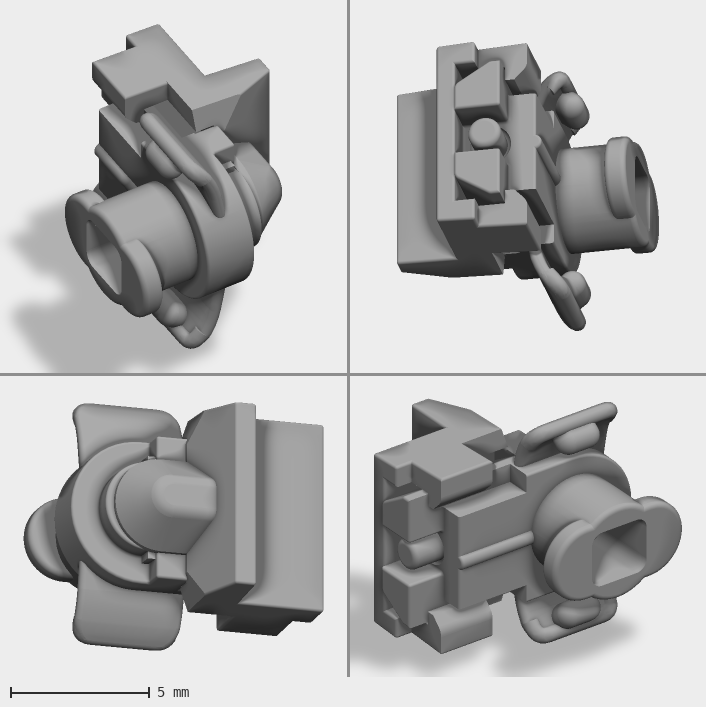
import cadquery as cq
import math


EDGE = 0.1
OVERLAP = 0.5

POST_RADIUS = 1.9
POST_LENGTH = 2.79
HEAD_HALF_LENGTH = 2.9
HEAD_WIDTH = 3.0
HEAD_THICKNESS = 0.8
HEAD_EDGE = 0.2
SOCKET_LENGTH = 2.44
SOCKET_WIDTH = 2.2
SOCKET_CORNER = 0.45

PLATE_RADIUS = 2.65
PLATE_BACK = 1.96
NOTCH_X = -2.085
PRONG_FRONT = 1.0
PRONG_BACK = 2.68
PRONG_LEFT = -6.6
PRONG_INNER = 0.86
PRONG_SLOPE_TOP = 1.85
PRONG_SLOPE_FRONT = 1.38
PRONG_FRONT_ROUND = 0.2
PRONG_BACK_ROUND = 0.3
STRIP_LEFT = -5.1
STRIP_HALF_WIDTH = 1.91
BLOCK_LEFT = -1.55
BLOCK_RIGHT = -0.29
BLOCK_BACK = 2.87
BOSS_RADIUS = 1.645
RIB_RADIUS = 0.3
RIB_CENTER_Y = 0.1

PIN_RADIUS = 0.6
PIN_Y = 1.66
PIN_LEFT = -6.29
PIN_EDGE = 0.2
PIN_GROOVE = 0.15

HOUSING_LEFT = -6.475
HOUSING_ARM_FRONT = 1.95
HOUSING_ARM_BACK = 3.36
TOWER_BACK = 5.58
TOWER_LEFT_FRONT = -3.24
TOWER_LEFT_BACK = -3.14
TOWER_RIGHT_BACK = -2.36
TOWER_RIGHT_FRONT = -1.36
TOWER_SLOPE_FRONT = 3.07
LEG_LEFT = -5.79
LEG_RIGHT = -3.49
LEG_FRONT = 0.16
HOUSING_HALF_FRONT = 3.645
HOUSING_HALF_BACK = 3.39
CAVITY_HALF = 2.72
HOOK_INNER = 2.2
HOOK_BACK = 0.97
HOOK_SLOPE_BACK = 0.64
HOOK_ROUND = 0.5
END_WALL_X = -1.75
END_WALL_Z = 3.5
END_WALL_SLOPE = 0.35

BULGE_CENTER_X = -0.36
BULGE_RADIUS = 1.717
BULGE_STEP = 0.2
BULGE_BACK = 4.57
BULGE_TAPER = 35.4
BULGE_ROUND = 0.5

WING_HALF_LENGTH = 2.0
WING_THICKNESS = 0.46
WING_BEND_RADIUS = 3.1
WING_CORNER = 0.8
WING_EDGE = 0.2
WING_ROOT_Z = 1.5
BEAD_RADIUS = 0.3
BEAD_Y = -0.1
WING_TOP = 4.5
BEND_START_Y = 1.0
BEND_START_Z = 2.77
KNOB_RADIUS = 0.49
KNOB_SPACING = 0.8
KNOB_NECK = 0.45
KNOB_Y = -0.244
KNOB_Z = 3.59
KNOB_TILT = 37
LOWER_KNOB_LIFT = 0.07


def box(x0, x1, y0, y1, z0, z1):
    """Box between two opposite corners."""
    return cq.Workplane("XY").box(x1 - x0, y1 - y0, z1 - z0, centered=False).translate((x0, y0, z0))


def both_sides(part):
    """A part together with its mirror image about Z = 0."""
    return part.union(part.mirror("XY"))


def xz_plane(y):
    """Work plane facing -Y with X and Z as its axes."""
    return cq.Workplane("XZ", origin=(0, y, 0))


def rounded_end_plate(left, center, radius, front, back):
    """Bar of width 2 * radius along X whose right end is a half circle."""
    return (
        xz_plane(back)
        .moveTo(left, -radius)
        .lineTo(center, -radius)
        .threePointArc((center + radius, 0), (center, radius))
        .lineTo(left, radius)
        .close()
        .extrude(back - front)
    )


def make_post():
    post = xz_plane(OVERLAP).circle(POST_RADIUS).extrude(POST_LENGTH + OVERLAP)
    post = post.faces("<Y").edges().fillet(HEAD_EDGE)
    lobes = (
        xz_plane(HEAD_THICKNESS - POST_LENGTH)
        .slot2D(2 * HEAD_HALF_LENGTH, HEAD_WIDTH)
        .extrude(HEAD_THICKNESS)
        .edges("<Y or >Y")
        .fillet(HEAD_EDGE)
    )
    return post.union(lobes)


def make_socket():
    return (
        xz_plane(0)
        .rect(SOCKET_LENGTH, SOCKET_WIDTH)
        .extrude(POST_LENGTH)
        .edges("|Y")
        .fillet(SOCKET_CORNER)
    )


def make_prong():
    outline = [
        (PRONG_FRONT, PRONG_INNER),
        (PRONG_FRONT, PLATE_RADIUS),
        (PRONG_SLOPE_FRONT, PLATE_RADIUS),
        (PRONG_BACK, PRONG_SLOPE_TOP),
        (PRONG_BACK, PRONG_INNER),
    ]
    length = BLOCK_LEFT - PRONG_LEFT + OVERLAP

    def nearest(y, z):
        """Selects the long edge of the prong through a corner of its outline."""
        return cq.selectors.NearestToPointSelector((PRONG_LEFT + length / 2, y, z))

    prong = (
        cq.Workplane("YZ", origin=(PRONG_LEFT, 0, 0))
        .polyline(outline)
        .close()
        .extrude(length)
    )
    prong = prong.edges(nearest(PRONG_SLOPE_FRONT, PLATE_RADIUS)).fillet(PRONG_FRONT_ROUND)
    prong = prong.edges(nearest(PRONG_BACK, PRONG_SLOPE_TOP)).fillet(PRONG_BACK_ROUND)
    left_edges = prong.faces("<X").edges()
    inner_edge = prong.edges(nearest(PRONG_FRONT, PRONG_INNER))
    return left_edges.add(inner_edge).fillet(EDGE)


def make_plate():
    head = rounded_end_plate(NOTCH_X, 0, PLATE_RADIUS, 0, PLATE_BACK)
    head = head.faces("<Y").edges("not <X").fillet(EDGE)
    head = head.faces(">Y").edges("%CIRCLE").fillet(EDGE)
    strip = box(STRIP_LEFT, 0, 0, PRONG_BACK, -STRIP_HALF_WIDTH, STRIP_HALF_WIDTH)
    strip = strip.edges("<X and <Y").fillet(EDGE)
    slope_gap = box(STRIP_LEFT, BLOCK_LEFT, PRONG_FRONT, PRONG_BACK, PRONG_INNER + OVERLAP, PLATE_RADIUS)
    slope_gap = both_sides(slope_gap)
    head = head.cut(slope_gap)
    strip = strip.cut(slope_gap)
    block = box(BLOCK_LEFT, BLOCK_RIGHT, PRONG_FRONT, BLOCK_BACK, -PLATE_RADIUS, PLATE_RADIUS)
    block = block.edges("|Y or (>Y and (not <X))").fillet(EDGE)
    boss = rounded_end_plate(BLOCK_RIGHT - EDGE, 0, BOSS_RADIUS, PRONG_FRONT, BLOCK_BACK)
    boss = boss.faces(">Y").edges("%CIRCLE").fillet(EDGE)
    stepped = head.union(block).union(boss)
    foot_zone = cq.selectors.BoxSelector(
        (BLOCK_RIGHT - EDGE / 2, PLATE_BACK - EDGE, -PLATE_RADIUS),
        (BOSS_RADIUS * 0.75, PLATE_BACK + EDGE / 2, PLATE_RADIUS),
    )
    stepped = stepped.edges(foot_zone).fillet(EDGE)
    return stepped.union(strip).union(both_sides(make_prong()))


def round_channel_end(part):
    """Fill the inner corners where the strip rises from the prongs and the housing."""
    corner_zone = cq.selectors.BoxSelector(
        (STRIP_LEFT - EDGE, PRONG_FRONT - EDGE, -CAVITY_HALF),
        (STRIP_LEFT + EDGE / 2, PRONG_BACK + EDGE, CAVITY_HALF),
    )
    return part.edges(corner_zone).fillet(EDGE)


def make_rib():
    rib = (
        cq.Workplane("YZ", origin=(STRIP_LEFT, 0, 0))
        .center(RIB_CENTER_Y, 0)
        .circle(RIB_RADIUS)
        .extrude(-STRIP_LEFT)
    )
    return rib.faces("<X").edges().fillet(EDGE)


def make_pin():
    pin = (
        cq.Workplane("YZ", origin=(PIN_LEFT, 0, 0))
        .center(PIN_Y, 0)
        .circle(PIN_RADIUS)
        .extrude(STRIP_LEFT + OVERLAP - PIN_LEFT)
    )
    return pin.faces("<X").edges().fillet(PIN_EDGE)


def make_pin_groove():
    """Ring around the pin foot, quarter round in section."""
    outer = PIN_Y + PIN_RADIUS + PIN_GROOVE
    bevel = PIN_GROOVE * math.sqrt(0.5)
    return (
        cq.Workplane("XY")
        .moveTo(STRIP_LEFT, PIN_Y + PIN_RADIUS)
        .lineTo(STRIP_LEFT, outer)
        .threePointArc(
            (STRIP_LEFT + bevel, PIN_Y + PIN_RADIUS + bevel),
            (STRIP_LEFT + PIN_GROOVE, PIN_Y + PIN_RADIUS),
        )
        .close()
        .revolve(360, (0, PIN_Y, 0), (1, PIN_Y, 0))
    )


def make_housing():
    outline = [
        (HOUSING_LEFT, HOUSING_ARM_FRONT),
        (LEG_LEFT, HOUSING_ARM_FRONT),
        (LEG_LEFT, LEG_FRONT),
        (LEG_RIGHT, LEG_FRONT),
        (LEG_RIGHT, HOUSING_ARM_FRONT),
        (TOWER_RIGHT_FRONT, HOUSING_ARM_FRONT),
        (TOWER_RIGHT_FRONT, TOWER_SLOPE_FRONT),
        (TOWER_RIGHT_BACK, TOWER_BACK),
        (TOWER_LEFT_BACK, TOWER_BACK),
        (TOWER_LEFT_FRONT, HOUSING_ARM_BACK),
        (HOUSING_LEFT, HOUSING_ARM_BACK),
    ]
    housing = cq.Workplane("XY").polyline(outline).close().extrude(WING_TOP, both=True)
    draft = [
        (LEG_FRONT, -HOUSING_HALF_FRONT),
        (LEG_FRONT, HOUSING_HALF_FRONT),
        (TOWER_BACK, HOUSING_HALF_BACK),
        (TOWER_BACK, -HOUSING_HALF_BACK),
    ]
    length = TOWER_RIGHT_FRONT - HOUSING_LEFT
    left_plane = cq.Workplane("YZ", origin=(HOUSING_LEFT, 0, 0))
    housing = housing.intersect(left_plane.polyline(draft).close().extrude(length))

    arc_front = HOOK_ROUND * (1 - math.sqrt(0.5))
    slope = HOOK_SLOPE_BACK - LEG_FRONT - arc_front
    arc_inner = HOOK_INNER + slope
    arc_outer = arc_inner + HOOK_ROUND * math.sqrt(0.5)
    turn = math.radians(22.5)
    arc_mid = (
        LEG_FRONT + HOOK_ROUND * (1 - math.cos(turn)),
        arc_outer - HOOK_ROUND * math.sin(turn),
    )
    opening = (
        left_plane.moveTo(PRONG_BACK, 0)
        .lineTo(PRONG_BACK, CAVITY_HALF)
        .lineTo(HOOK_BACK, CAVITY_HALF)
        .lineTo(HOOK_BACK, HOOK_INNER)
        .lineTo(HOOK_SLOPE_BACK, HOOK_INNER)
        .lineTo(LEG_FRONT + arc_front, arc_inner)
        .threePointArc(arc_mid, (LEG_FRONT, arc_outer))
        .lineTo(LEG_FRONT, 0)
        .close()
        .extrude(length)
    )
    housing = housing.cut(both_sides(opening))

    def is_sharp(edge):
        middle = edge.Center()
        on_arm_front = middle.x > LEG_RIGHT and abs(middle.y - HOUSING_ARM_FRONT) < EDGE
        on_arm_end = abs(middle.x - TOWER_RIGHT_FRONT) < EDGE
        return on_arm_front or on_arm_end

    rounded = housing.faces(">Z or <Z").edges().filter(lambda edge: not is_sharp(edge))
    rounded = rounded.add(housing.faces("<X").edges())
    rounded = rounded.add(housing.faces(">Y").edges())
    housing = rounded.fillet(EDGE)

    wall_x_inside = END_WALL_X + END_WALL_SLOPE * END_WALL_Z
    wall_x_outside = END_WALL_X - END_WALL_SLOPE * (WING_TOP - END_WALL_Z)
    wedge = (
        xz_plane(TOWER_BACK)
        .polyline([(wall_x_inside, 0), (wall_x_outside, WING_TOP), (wall_x_inside, WING_TOP)])
        .close()
        .extrude(TOWER_BACK)
    )
    housing = housing.cut(both_sides(wedge))
    return housing


def make_bulge():
    base = rounded_end_plate(
        TOWER_RIGHT_BACK, BULGE_CENTER_X, BULGE_RADIUS, BLOCK_BACK - EDGE, BLOCK_BACK + BULGE_STEP
    )
    height = BULGE_BACK - BLOCK_BACK - BULGE_STEP
    cone_left = TOWER_RIGHT_BACK - BULGE_RADIUS
    cone = (
        cq.Workplane("ZX", origin=(0, BLOCK_BACK + BULGE_STEP, 0))
        .moveTo(-BULGE_RADIUS, cone_left)
        .lineTo(-BULGE_RADIUS, BULGE_CENTER_X)
        .threePointArc((0, BULGE_CENTER_X + BULGE_RADIUS), (BULGE_RADIUS, BULGE_CENTER_X))
        .lineTo(BULGE_RADIUS, cone_left)
        .close()
        .extrude(height, taper=BULGE_TAPER)
    )
    cone = cone.faces(">Y").edges("not <X").fillet(BULGE_ROUND)
    bulge = base.union(cone)
    limit = (
        cq.Workplane("XY")
        .polyline([
            (TOWER_RIGHT_FRONT, 0),
            (TOWER_RIGHT_FRONT, TOWER_SLOPE_FRONT),
            (TOWER_RIGHT_BACK, TOWER_BACK),
            (PLATE_RADIUS, TOWER_BACK),
            (PLATE_RADIUS, 0),
        ])
        .close()
        .extrude(PLATE_RADIUS, both=True)
    )
    return bulge.intersect(limit)


def make_wing():
    """Upper wing: a bent flap with a bead along its rim."""
    bead_z = WING_TOP - BEAD_RADIUS
    far = WING_BEND_RADIUS
    near = WING_BEND_RADIUS - BEAD_RADIUS
    dy = BEAD_Y - BEND_START_Y
    dz = bead_z - BEND_START_Z
    gap = math.hypot(dy, dz)
    along = (far**2 - near**2 + gap**2) / (2 * gap)
    across = math.sqrt(far**2 - along**2)
    center_y = BEND_START_Y + (along * dy - across * dz) / gap
    center_z = BEND_START_Z + (along * dz + across * dy) / gap
    start = math.atan2(BEND_START_Z - center_z, BEND_START_Y - center_y)
    end = math.atan2(bead_z - center_z, BEAD_Y - center_y)

    def bend_point(radius, angle):
        return (center_y + radius * math.cos(angle), center_z + radius * math.sin(angle))

    def root_point(radius):
        y, z = bend_point(radius, start)
        return (y + (z - WING_ROOT_Z) * math.tan(start), WING_ROOT_Z)

    inner = far - WING_THICKNESS
    middle = (start + end) / 2
    plane = cq.Workplane("YZ", origin=(-WING_HALF_LENGTH, 0, 0))
    flap = (
        plane.moveTo(*root_point(far))
        .lineTo(*bend_point(far, start))
        .threePointArc(bend_point(far, middle), bend_point(far, end))
        .lineTo(*bend_point(inner, end))
        .threePointArc(bend_point(inner, middle), bend_point(inner, start))
        .lineTo(*root_point(inner))
        .close()
        .extrude(2 * WING_HALF_LENGTH)
    )

    def is_rim_edge(middle):
        """Edges running up the two ends and round the corners of the flap."""
        on_root = middle.z < WING_ROOT_Z + EDGE
        on_faces = abs(middle.x) > WING_HALF_LENGTH - WING_CORNER
        across = abs(math.hypot(middle.y - center_y, middle.z - center_z) - (far + inner) / 2) < EDGE
        return on_faces and not on_root and not across

    rim = box(-WING_HALF_LENGTH, WING_HALF_LENGTH, -HEAD_WIDTH, HEAD_WIDTH, 0, WING_TOP)
    rim = rim.edges("|Y and >Z").fillet(WING_CORNER)
    flap = flap.intersect(rim)
    rim_edges = flap.edges().filter(lambda edge: is_rim_edge(edge.Center()))
    flap = rim_edges.fillet(WING_EDGE)
    corner_z = WING_TOP - WING_CORNER
    corner_y = center_y + math.sqrt(near**2 - (corner_z - center_z) ** 2)
    return flap.union(make_bead((corner_y, corner_z), (BEAD_Y, bead_z)))


def make_bead(corner, top):
    """Round bead along the wing rim that turns down both rounded corners."""
    rise_y = top[0] - corner[0]
    rise_z = top[1] - corner[1]
    rise = math.hypot(rise_y, rise_z)
    straight_end = WING_HALF_LENGTH - WING_CORNER
    corner_end = WING_HALF_LENGTH - BEAD_RADIUS
    rim_plane = cq.Plane((0, *top), (1, 0, 0), (0, -rise_z, rise_y))
    path = (
        cq.Workplane(rim_plane)
        .moveTo(-corner_end, -rise)
        .spline([(-straight_end, 0)], tangents=[(0, 1), (1, 0)], includeCurrent=True)
        .lineTo(straight_end, 0)
        .spline([(corner_end, -rise)], tangents=[(1, 0), (0, -1)], includeCurrent=True)
    )
    start_plane = cq.Plane((-corner_end, *corner), (1, 0, 0), (0, rise_y, rise_z))
    return cq.Workplane(start_plane).circle(BEAD_RADIUS).sweep(path)


def make_knob(lift):
    """Domed knob on the inner face of the upper wing, pushed out by a lift along its neck."""
    tilt = math.radians(KNOB_TILT)
    center = (0, KNOB_Y - lift * math.cos(tilt), KNOB_Z - lift * math.sin(tilt))
    neck_plane = cq.Plane(center, (1, 0, 0), (0, math.cos(tilt), math.sin(tilt)))
    length = KNOB_SPACING + 2 * KNOB_RADIUS
    knob = cq.Workplane(neck_plane).slot2D(length, 2 * KNOB_RADIUS).extrude(KNOB_NECK)
    dome = cq.Workplane("YZ", origin=center).circle(KNOB_RADIUS).extrude(KNOB_SPACING / 2, both=True)
    for side in (-1, 1):
        end = cq.Workplane("XY").sphere(KNOB_RADIUS)
        dome = dome.union(end.translate((side * KNOB_SPACING / 2, center[1], center[2])))
    return knob.union(dome)


post = make_post()
plate = make_plate()
result = post.union(plate).union(make_rib())
result = result.union(make_housing()).union(make_bulge())
result = round_channel_end(result)
result = result.cut(make_pin_groove()).union(make_pin())
result = result.union(both_sides(make_wing()))
result = result.union(make_knob(0)).union(make_knob(LOWER_KNOB_LIFT).mirror("XY"))
result = result.cut(make_socket())